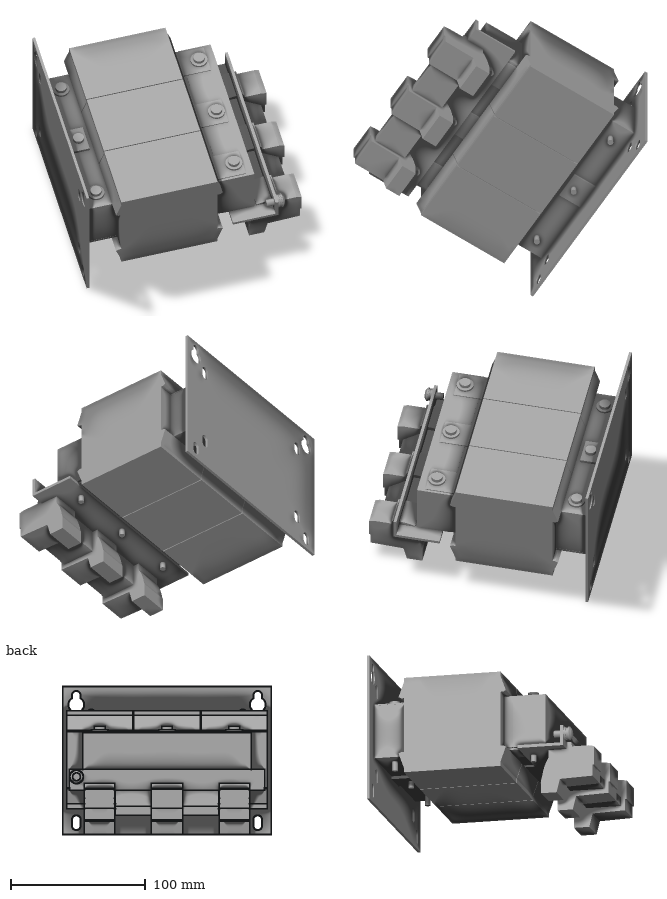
import cadquery as cq


plate_width = 155.0
plate_height = 110.0
plate_thickness = 2.0
slot_width = 6.3
slot_length = 10.9
outer_slot_x = 67.3
outer_slot_z = -46.1
inner_slot_x = 56.3
inner_slot_z = 32.4
keyhole_diameter = 11.5
keyhole_z = 41.4
keyhole_top_z = 51.5

mid_z = 0.7
core_width = 125.2
core_top_z = 20.7
core_bottom_z = -18.7
core_end_y = 133.0
core_joint_y = 108.0
core_joint_step = 0.2
clamp_height = 41.4
sheet_top_z = mid_z + clamp_height / 2
sheet_bottom_z = mid_z - clamp_height / 2
rear_tab_width = 21.7
rear_tab_end_y = 127.0

phase_pitch = 49.9
phase_positions = (-phase_pitch, 0, phase_pitch)
coil_gap = 0.7
coil_width = phase_pitch - coil_gap
coil_start_y = 27.5
coil_end_y = 101.5
coil_height = 72.6
coil_edge_height = 3.4
flange_flare = 4.0
flange_lip_depth = 2.0
flange_lip_height = 1.0

front_bolt_y = 14.6
rear_bolt_y = 120.6
bolt_diameter = 4.2
bolt_head_diameter = 8.1
bolt_head_top_z = 25.5
washer_diameter = 12.5
washer_thickness = 1.5
bolt_end_z = -27.3

lug_width = 20.5
lug_end_y = 20.5
lug_thickness = 2.0
raised_head_top_z = 26.8

bracket_width = 144.9
bracket_thickness = 2.2
bracket_start_y = 113.8
bracket_end_y = 148.8
bracket_top_z = -6.6
bracket_bottom_z = sheet_bottom_z - bracket_thickness

overall_depth = 169.6
outer_block_width = 22.4
middle_block_width = 23.2
outer_block_x = 50.0

block_top_z = -20.5
block_top_drop = 0.8
block_bevel_y = 165.7
block_step_y = 152.8
block_ridge_y = 152.1
block_ridge_z = -17.0
block_ridge_mid = (143.5, -17.3)
block_ridge_front_z = -19.2
block_front_y = 134.8
block_hook_start_z = -27.8
block_hook_mid = (131.6, -34.8)
block_hook_end = (130.0, -42.0)
block_tip_front_y = 129.3
block_tip_start_z = -44.5
block_tip_rear_y = 141.0
block_inner_corner = (143.5, -45.0)
block_rear_y = 168.5
block_underside_z = -44.1
block_ledge_z = -35.5

bar_width = 76.7
bar_end_y = 165.2
bar_start_y = 139.1
bar_edge_z = -34.0
bar_bottom_z = -40.7

earth_x = 67.2
earth_z = -12.0
earth_shaft_diameter = 5.3
earth_shaft_start_y = 140.8
lower_washer_diameter = 9.8
lower_washer_thickness = 1.4
washer_spacing = 0.5
upper_washer_diameter = 9.0
upper_washer_thickness = 1.4
earth_neck_diameter = 8.5
earth_head_diameter = 10.2
earth_head_rim = 1.0
earth_head_top_diameter = 5.8
earth_head_height = 2.5


def box(x_center, width, y_range, z_range):
    """Block centred on x_center that fills the given Y and Z ranges."""
    depth = y_range[1] - y_range[0]
    height = z_range[1] - z_range[0]
    block = cq.Workplane("XY").box(width, depth, height, centered=(True, False, False))
    return block.translate((x_center, y_range[0], z_range[0]))


def extrude_profile(points, x_center, width):
    """Y-Z outline extruded along X, centred on x_center."""
    profile = cq.Workplane("YZ").polyline(points).close()
    return profile.extrude(width / 2, both=True).translate((x_center, 0, 0))


def upright_cylinder(x, y, diameter, z_range):
    base = cq.Workplane("XY", origin=(x, y, z_range[0]))
    return base.circle(diameter / 2).extrude(z_range[1] - z_range[0])


def plate_cylinder_cut(points, diameter):
    """Round cutters through the plate at (x, z) points."""
    plane = cq.Workplane("XZ").pushPoints(points)
    return plane.circle(diameter / 2).extrude(-plate_thickness)


def plate_slot_cut(points, length):
    """Upright slot cutters through the plate, centred on (x, z) points."""
    plane = cq.Workplane("XZ").pushPoints(points)
    return plane.slot2D(length, slot_width, 90).extrude(-plate_thickness)


def make_plate():
    plate = box(0, plate_width, (0, plate_thickness), (-plate_height / 2, plate_height / 2))
    outer_slots = [(side * outer_slot_x, outer_slot_z) for side in (-1, 1)]
    inner_slots = [(x, z) for x in (-inner_slot_x, inner_slot_x) for z in (-inner_slot_z, inner_slot_z)]
    plate = plate.cut(plate_slot_cut(outer_slots + inner_slots, slot_length))

    neck_length = keyhole_top_z - keyhole_z + slot_width / 2
    neck_z = keyhole_top_z - neck_length / 2
    entries = [(side * outer_slot_x, keyhole_z) for side in (-1, 1)]
    necks = [(side * outer_slot_x, neck_z) for side in (-1, 1)]
    plate = plate.cut(plate_cylinder_cut(entries, keyhole_diameter))
    return plate.cut(plate_slot_cut(necks, neck_length))


def make_core():
    """Rear yoke, slightly smaller limbs and front yoke, and the insulation sheets."""
    core = box(0, core_width, (core_joint_y, core_end_y), (core_bottom_z, core_top_z))
    limbs_width = core_width - 2 * core_joint_step
    limbs_z = (core_bottom_z + core_joint_step, core_top_z - core_joint_step)
    core = core.union(box(0, limbs_width, (plate_thickness, core_joint_y), limbs_z))

    sheet_z = (sheet_bottom_z, sheet_top_z)
    for z_range in ((sheet_bottom_z, limbs_z[0]), (limbs_z[1], sheet_top_z)):
        core = core.union(box(0, core_width, (plate_thickness, coil_start_y), z_range))

    for x in phase_positions:
        core = core.union(box(x, rear_tab_width, (coil_end_y, rear_tab_end_y), sheet_z))
    return core


def make_coil(x):
    """Coil body with flared flanges above and below the core, their lips bevelled towards it."""
    coil = box(
        x, coil_width, (coil_start_y, coil_end_y), (mid_z - coil_height / 2, mid_z + coil_height / 2)
    )
    inner_flare = flange_flare - flange_lip_depth
    flange_inner = sheet_top_z - mid_z
    flange_outer = coil_height / 2 - coil_edge_height
    for side in (-1, 1):
        inner_z = mid_z + side * flange_inner
        lip_z = inner_z + side * flange_lip_height
        outer_z = mid_z + side * flange_outer
        flange = [
            (coil_start_y - inner_flare, inner_z),
            (coil_start_y - flange_flare, lip_z),
            (coil_start_y, outer_z),
            (coil_end_y, outer_z),
            (coil_end_y + flange_flare, lip_z),
            (coil_end_y + inner_flare, inner_z),
        ]
        coil = coil.union(extrude_profile(flange, x, coil_width))
    return coil


def make_bolt(x, y, head_top_z):
    bolt = upright_cylinder(x, y, bolt_diameter, (bolt_end_z, head_top_z))
    return bolt.union(upright_cylinder(x, y, bolt_head_diameter, (sheet_top_z, head_top_z)))


def make_washer(x, y):
    return upright_cylinder(x, y, washer_diameter, (core_top_z, sheet_top_z + washer_thickness))


def make_lugs():
    """Upper lug under the middle bolt's head, lower lug against the core."""
    y_range = (plate_thickness, lug_end_y)
    upper_z = sheet_top_z + washer_thickness / 2
    upper = box(0, lug_width, y_range, (upper_z, upper_z + lug_thickness))
    lower = box(0, lug_width, y_range, (bracket_bottom_z, sheet_bottom_z))
    return upper.union(lower)


def make_bracket():
    """L-shaped bracket: a shelf under the core with an upright rear edge."""
    shelf = box(0, bracket_width, (bracket_start_y, bracket_end_y), (bracket_bottom_z, sheet_bottom_z))
    upright_y = (bracket_end_y - bracket_thickness, bracket_end_y)
    return shelf.union(box(0, bracket_width, upright_y, (bracket_bottom_z, bracket_top_z)))


def make_terminal_block(x, width):
    """Hooked block that stands through the bracket and hangs below it."""
    outline = (
        cq.Workplane("YZ")
        .moveTo(overall_depth, block_top_z - block_top_drop)
        .lineTo(block_bevel_y, block_top_z)
        .lineTo(block_step_y, block_top_z)
        .lineTo(block_ridge_y, block_ridge_z)
        .threePointArc(block_ridge_mid, (block_front_y, block_ridge_front_z))
        .lineTo(block_front_y, block_hook_start_z)
        .threePointArc(block_hook_mid, block_hook_end)
        .lineTo(block_tip_front_y, block_tip_start_z)
        .lineTo(block_tip_front_y, -plate_height / 2)
        .lineTo(block_tip_rear_y, -plate_height / 2)
        .lineTo(*block_inner_corner)
        .lineTo(block_rear_y, block_underside_z)
        .lineTo(block_rear_y, block_ledge_z)
        .lineTo(overall_depth, block_ledge_z)
        .close()
    )
    return outline.extrude(width / 2, both=True).translate((x, 0, 0))


def make_bar():
    """Bar under the bracket with a top face that slopes down to the rear."""
    outline = [
        (bar_start_y, bracket_bottom_z),
        (bracket_end_y, bracket_bottom_z),
        (bar_end_y, bar_edge_z),
        (bar_end_y, bar_bottom_z),
        (bar_start_y, bar_bottom_z),
    ]
    return extrude_profile(outline, 0, bar_width)


def earth_disc(diameter, start_y, length):
    plane = cq.Workplane("XZ", origin=(earth_x, start_y, earth_z))
    return plane.circle(diameter / 2).extrude(-length)


def make_earth_screw():
    upper_washer_y = bracket_end_y + lower_washer_thickness + washer_spacing
    head_y = upper_washer_y + upper_washer_thickness
    screw = earth_disc(earth_shaft_diameter, earth_shaft_start_y, bracket_end_y - earth_shaft_start_y)
    screw = screw.union(earth_disc(earth_neck_diameter, bracket_end_y, head_y - bracket_end_y))
    screw = screw.union(earth_disc(lower_washer_diameter, bracket_end_y, lower_washer_thickness))
    screw = screw.union(earth_disc(upper_washer_diameter, upper_washer_y, upper_washer_thickness))
    head = earth_disc(earth_head_diameter, head_y, earth_head_height)
    dome_height = earth_head_height - earth_head_rim
    dome_inset = (earth_head_diameter - earth_head_top_diameter) / 2
    return screw.union(head.faces(">Y").chamfer(dome_height, dome_inset))


result = make_plate().union(make_core()).union(make_lugs()).union(make_bracket())
for phase_x in phase_positions:
    result = result.union(make_coil(phase_x))
    result = result.union(make_bolt(phase_x, rear_bolt_y, bolt_head_top_z))
    result = result.union(make_washer(phase_x, rear_bolt_y))
    if phase_x == 0:
        result = result.union(make_bolt(phase_x, front_bolt_y, raised_head_top_z))
    else:
        result = result.union(make_bolt(phase_x, front_bolt_y, bolt_head_top_z))
        result = result.union(make_washer(phase_x, front_bolt_y))
result = result.union(make_terminal_block(0, middle_block_width)).union(make_bar())
for side in (-1, 1):
    result = result.union(make_terminal_block(side * outer_block_x, outer_block_width))
result = result.union(make_earth_screw())